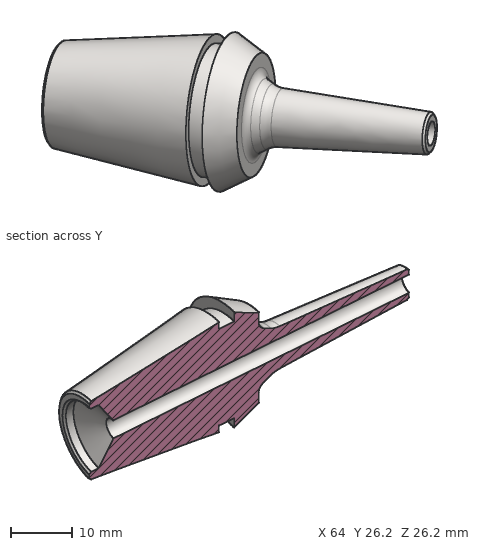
import cadquery as cq
import math

TOTAL_LENGTH = 64.0

TAPER_LENGTH = 26.0
TAPER_END_RADIUS = 12.5
TAPER_ANGLE = 8.0
NOSE_CHAMFER = 0.4

GROOVE_LENGTH = 3.0
GROOVE_RADIUS = 11.0
FLANGE_LENGTH = 5.0
FLANGE_RADIUS = 13.115
FLANGE_ANGLE = 30.0

NECK_CONE_LENGTH = 1.3
NECK_ANGLE = 30.0
FLANGE_BLEND_RADIUS = 2.0
SHANK_BLEND_RADIUS = 4.0

SHANK_END_RADIUS = 3.5
SHANK_ANGLE = 3.0
SHANK_CHAMFER = 0.4

THROUGH_RADIUS = 2.0
POCKET_RADIUS = 7.1
POCKET_WALL_DEPTH = 1.9
POCKET_CHAMFER = 0.4
POCKET_CONE_ANGLE = 60.0


def rise(length, angle):
    """Radius change of a cone over an axial length, at a half angle in degrees."""
    return length * math.tan(math.radians(angle))


def arc_point(center, radius, angle):
    """Point on a concave blend where its tangent is inclined by angle to the axis."""
    slope = math.radians(angle)
    return (center[0] - radius * math.sin(slope), center[1] - radius * math.cos(slope))


def make_body():
    """Solid of revolution bounded by the outer profile."""
    groove_start = TAPER_LENGTH
    flange_start = groove_start + GROOVE_LENGTH
    flange_end = flange_start + FLANGE_LENGTH
    nose_radius = TAPER_END_RADIUS - rise(TAPER_LENGTH, TAPER_ANGLE)
    chamfer_top = nose_radius + rise(NOSE_CHAMFER, TAPER_ANGLE)
    flange_back_radius = FLANGE_RADIUS - rise(FLANGE_LENGTH, FLANGE_ANGLE)

    neck_sine = math.sin(math.radians(NECK_ANGLE))
    shank_sine = math.sin(math.radians(SHANK_ANGLE))
    cone_start = flange_end + FLANGE_BLEND_RADIUS * (1 - neck_sine)
    cone_end = cone_start + NECK_CONE_LENGTH
    shank_start = cone_end + SHANK_BLEND_RADIUS * (neck_sine - shank_sine)

    shank_start_radius = SHANK_END_RADIUS + rise(TOTAL_LENGTH - shank_start, SHANK_ANGLE)
    shank_blend_center = (
        shank_start + SHANK_BLEND_RADIUS * shank_sine,
        shank_start_radius + SHANK_BLEND_RADIUS * math.cos(math.radians(SHANK_ANGLE)),
    )
    cone_end_point = arc_point(shank_blend_center, SHANK_BLEND_RADIUS, NECK_ANGLE)
    cone_start_radius = cone_end_point[1] + rise(NECK_CONE_LENGTH, NECK_ANGLE)
    flange_blend_center = (
        flange_end + FLANGE_BLEND_RADIUS,
        cone_start_radius + FLANGE_BLEND_RADIUS * math.cos(math.radians(NECK_ANGLE)),
    )
    flange_blend_middle = (90 + NECK_ANGLE) / 2
    shank_blend_middle = (NECK_ANGLE + SHANK_ANGLE) / 2
    shank_chamfer_start = TOTAL_LENGTH - SHANK_CHAMFER

    profile = (
        cq.Workplane("XY")
        .moveTo(0, 0)
        .lineTo(0, chamfer_top - NOSE_CHAMFER)
        .lineTo(NOSE_CHAMFER, chamfer_top)
        .lineTo(groove_start, TAPER_END_RADIUS)
        .lineTo(groove_start, GROOVE_RADIUS)
        .lineTo(flange_start, GROOVE_RADIUS)
        .lineTo(flange_start, FLANGE_RADIUS)
        .lineTo(flange_end, flange_back_radius)
        .lineTo(flange_end, flange_blend_center[1])
        .threePointArc(
            arc_point(flange_blend_center, FLANGE_BLEND_RADIUS, flange_blend_middle),
            (cone_start, cone_start_radius),
        )
        .lineTo(*cone_end_point)
        .threePointArc(
            arc_point(shank_blend_center, SHANK_BLEND_RADIUS, shank_blend_middle),
            (shank_start, shank_start_radius),
        )
        .lineTo(shank_chamfer_start, SHANK_END_RADIUS + rise(SHANK_CHAMFER, SHANK_ANGLE))
        .lineTo(TOTAL_LENGTH, SHANK_END_RADIUS - SHANK_CHAMFER)
        .lineTo(TOTAL_LENGTH, 0)
        .close()
    )
    return profile.revolve(360, (0, 0, 0), (1, 0, 0))


def make_bore():
    """Chamfered nose pocket with a conical floor, running into the through hole."""
    cone_depth = (POCKET_RADIUS - THROUGH_RADIUS) / math.tan(math.radians(POCKET_CONE_ANGLE))
    profile = (
        cq.Workplane("XY")
        .moveTo(0, 0)
        .lineTo(0, POCKET_RADIUS + POCKET_CHAMFER)
        .lineTo(POCKET_CHAMFER, POCKET_RADIUS)
        .lineTo(POCKET_WALL_DEPTH, POCKET_RADIUS)
        .lineTo(POCKET_WALL_DEPTH + cone_depth, THROUGH_RADIUS)
        .lineTo(TOTAL_LENGTH, THROUGH_RADIUS)
        .lineTo(TOTAL_LENGTH, 0)
        .close()
    )
    return profile.revolve(360, (0, 0, 0), (1, 0, 0))


result = make_body().cut(make_bore())